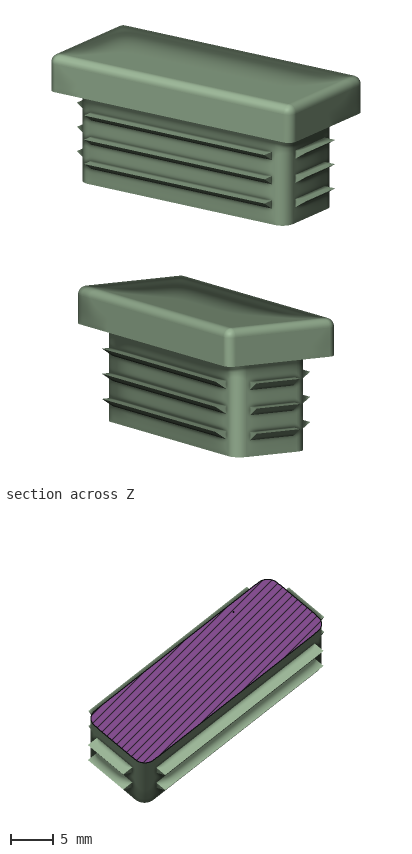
import cadquery as cq

cap_length = 35.0
cap_width = 15.0
cap_height = 4.5
cap_radius = 1.0

total_height = 16.0
insert_length = 30.0
insert_width = 10.0
insert_radius = 1.5
insert_height = total_height - cap_height

fin_reach = 1.5
fin_height = 1.0
fin_pitch = 3.0
fin_count = 3
first_fin_drop = 2.5
long_fin_length = 26.0
short_fin_length = 6.0
fin_root = 0.35


def make_cap():
    """Plate with rounded vertical corners and a rounded top rim."""
    plate = cq.Workplane("XY").workplane(offset=insert_height).rect(cap_length, cap_width).extrude(cap_height)
    return plate.edges("|Z or >Z").fillet(cap_radius)


def make_insert():
    """Block with rounded vertical corners, standing on Z = 0."""
    block = cq.Workplane("XY").rect(insert_length, insert_width).extrude(insert_height)
    return block.edges("|Z").fillet(insert_radius)


def make_fin(wall_distance, fin_length, top_z):
    """Triangular fin on the wall facing +X at the given distance from the axis."""
    return (
        cq.Workplane("XZ")
        .moveTo(wall_distance - fin_root, top_z)
        .lineTo(wall_distance + fin_reach, top_z)
        .lineTo(wall_distance, top_z - fin_height)
        .lineTo(wall_distance - fin_root, top_z - fin_height)
        .close()
        .extrude(fin_length / 2, both=True)
    )


result = make_cap().union(make_insert())
for row in range(fin_count):
    fin_top = insert_height - first_fin_drop - row * fin_pitch
    end_fin = make_fin(insert_length / 2, short_fin_length, fin_top)
    side_fin = make_fin(insert_width / 2, long_fin_length, fin_top)
    for turn in (0, 180):
        result = result.union(end_fin.rotate((0, 0, 0), (0, 0, 1), turn))
        result = result.union(side_fin.rotate((0, 0, 0), (0, 0, 1), turn + 90))